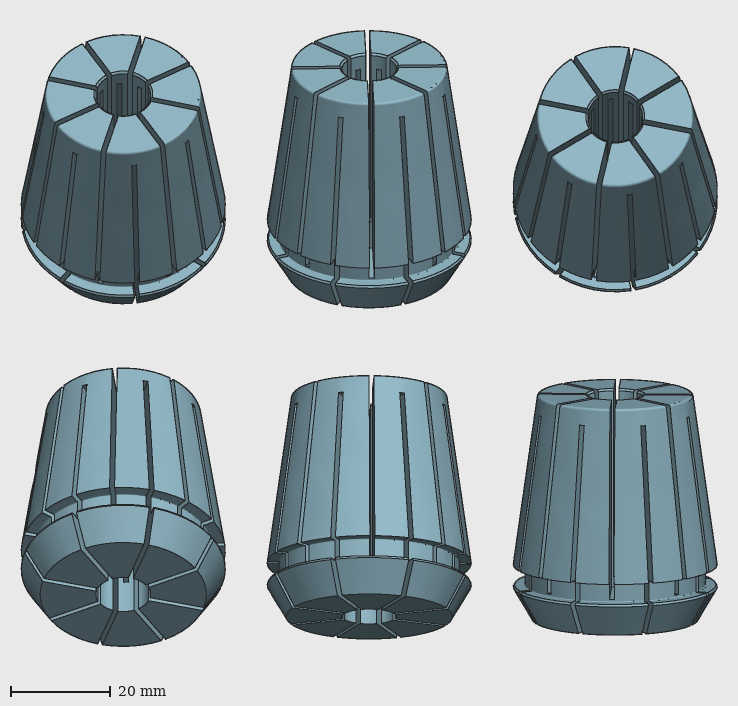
import cadquery as cq
import math

slot_count = 8
slot_pitch = 360.0 / slot_count
slot_width = 1.0
lower_slot_top_z = 42.55
upper_slot_bottom_z = 7.6

height = 46.0
width_across_slots = 41.0
max_radius = math.hypot(width_across_slots, slot_width) / 2
bore_diameter = 11.0

nose_tip_radius = 16.7
rim_z = 6.55
rim_bevel_height = 0.45
rim_bevel_width = 0.28

groove_radius = 18.12
groove_bottom_z = rim_z + rim_bevel_height
groove_top_z = 11.15
groove_corner_round = 0.2

taper_angle = 8.0
top_radius = max_radius - (height - groove_top_z) * math.tan(math.radians(taper_angle))
top_edge_round = 0.55
bore_bevel = 0.4


def make_body():
    """Revolve the outside with its groove, then bore it through."""
    profile = (
        cq.Workplane("XZ")
        .moveTo(0, 0)
        .lineTo(nose_tip_radius, 0)
        .lineTo(max_radius, rim_z)
        .lineTo(max_radius - rim_bevel_width, groove_bottom_z)
        .lineTo(groove_radius + groove_corner_round, groove_bottom_z)
        .radiusArc((groove_radius, groove_bottom_z + groove_corner_round), groove_corner_round)
        .lineTo(groove_radius, groove_top_z - groove_corner_round)
        .radiusArc((groove_radius + groove_corner_round, groove_top_z), groove_corner_round)
        .lineTo(max_radius, groove_top_z)
        .lineTo(top_radius, height)
        .lineTo(0, height)
        .close()
    )
    body = profile.revolve(360, (0, 0, 0), (0, 1, 0))
    body = body.faces(">Z").edges().fillet(top_edge_round)

    bore = cq.Workplane("XY").circle(bore_diameter / 2).extrude(height)
    body = body.cut(bore)
    bore_mouth = cq.selectors.RadiusNthSelector(0)
    return body.faces(">Z").edges(bore_mouth).chamfer(bore_bevel)


def cut_slots(body, bottom_z, top_z, first_angle):
    """Cut evenly spaced radial slots from the bore out through the side."""
    slot_length = max_radius + slot_width
    for index in range(slot_count):
        slot = (
            cq.Workplane("XY", origin=(slot_length / 2, 0, bottom_z))
            .rect(slot_length, slot_width)
            .extrude(top_z - bottom_z)
            .rotate((0, 0, 0), (0, 0, 1), first_angle + index * slot_pitch)
        )
        body = body.cut(slot)
    return body


result = make_body()
result = cut_slots(result, 0, lower_slot_top_z, 0)
result = cut_slots(result, upper_slot_bottom_z, height, slot_pitch / 2)